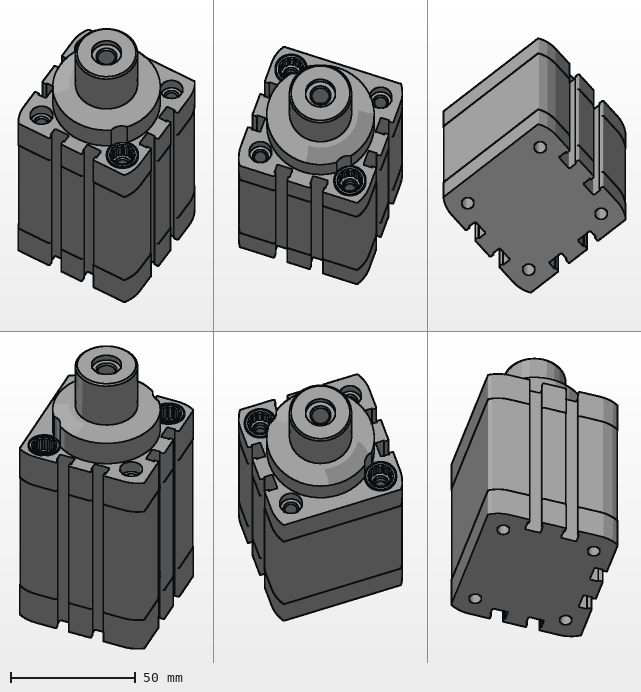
import cadquery as cq
import math

TOTAL_HEIGHT = 120.0
SIDE = 54.5
HALF_SIDE = SIDE / 2
HOUSING_HEIGHT = 86.4

CORNER_X = 24.8
CURVE_START_Y = 19.2
CORNER_ROUND = 0.6

END_ZONE_HEIGHT = 15.0
MIDDLE_SETBACK = 0.1

SLOT_OFFSET = 7.5
SLOT_MOUTH_WIDTH = 5.4
SLOT_WIDTH = 6.5
SLOT_DEPTH = 5.4
SLOT_LIP = 1.9
SLOT_MOUTH_ROUND = 0.4
SLOT_FLOOR_ROUND = 0.5

COLLAR_DIAMETER = 43.1
COLLAR_TOP_DIAMETER = 30.0
COLLAR_EDGE_Z = 97.0
COLLAR_TOP_Z = 99.0

ROD_DIAMETER = 25.0
ROD_CHAMFER = 0.7
ROD_RECESS_DIAMETER = 12.0
ROD_RECESS_DEPTH = 2.5
ROD_BORE_DIAMETER = 7.0
ROD_BORE_MOUTH_DIAMETER = 8.3
ROD_BORE_DEPTH = 19.2
DRILL_POINT_ANGLE = 118.0

HOLE_OFFSET = 19.0
HOLE_DIAMETER = 4.9
HOLE_MOUTH_DIAMETER = 6.2
COUNTERBORE_DIAMETER = 9.0
COUNTERBORE_DEPTH = 5.0
COUNTERBORED_CORNERS = [(-HOLE_OFFSET, -HOLE_OFFSET), (HOLE_OFFSET, HOLE_OFFSET)]

SCREW_DIAMETER = 12.8
SCREW_TOP_DIAMETER = 12.0
SCREW_LENGTH = 9.6
SOCKET_DEPTH = 6.0
SOCKET_MOUTH_DIAMETER = 10.1
SOCKET_POINT_DIAMETER = 9.6
SOCKET_BORE_DIAMETER = 8.5
SOCKET_MOUTH_ANGLE = 120.0
SOCKET_SQUARES = 3
SCREW_CORNERS = [(-HOLE_OFFSET, HOLE_OFFSET), (HOLE_OFFSET, -HOLE_OFFSET)]


def cylinder(diameter, bottom, top):
    """Upright cylinder on the Z axis."""
    return cq.Workplane("XY").workplane(offset=bottom).circle(diameter / 2).extrude(top - bottom)


def countersink(top_diameter, bottom_diameter, top, angle=90.0):
    """Cone on the Z axis, with the given included angle, that narrows downwards from the height top."""
    depth = (top_diameter - bottom_diameter) / 2 / math.tan(math.radians(angle / 2))
    outline = [(0, top), (top_diameter / 2, top), (bottom_diameter / 2, top - depth), (0, top - depth)]
    return cq.Workplane("XZ").polyline(outline).close().revolve(360, (0, 0, 0), (0, 1, 0))


def at_corners(tool, corners):
    """Copies of a tool at the given corner positions, as one cutting tool."""
    copies = cq.Workplane("XY")
    for x, y in corners:
        copies = copies.add(tool.translate((x, y, 0)).vals())
    return copies.combine()


def curved_side_mid(setback):
    """Midpoint of the curve at the +X +Y corner; the curve is tangent to the +X side."""
    across = HALF_SIDE - CORNER_X
    along = HALF_SIDE - setback - CURVE_START_Y
    radius = (across**2 + along**2) / (2 * across)
    half_angle = math.asin(along / radius) / 2
    x = HALF_SIDE - setback - radius * (1 - math.cos(half_angle))
    y = CURVE_START_Y + radius * math.sin(half_angle)
    return x, y


def housing_block(setback, height):
    """Housing block without slots, with every side moved inwards by the setback."""
    side = HALF_SIDE - setback
    corner = CORNER_X - setback
    mid_x, mid_y = curved_side_mid(setback)
    block = (
        cq.Workplane("XY")
        .moveTo(-corner, -side)
        .lineTo(corner, -side)
        .threePointArc((mid_x, -mid_y), (side, -CURVE_START_Y))
        .lineTo(side, CURVE_START_Y)
        .threePointArc((mid_x, mid_y), (corner, side))
        .lineTo(-corner, side)
        .threePointArc((-mid_x, mid_y), (-side, CURVE_START_Y))
        .lineTo(-side, -CURVE_START_Y)
        .threePointArc((-mid_x, -mid_y), (-corner, -side))
        .close()
        .extrude(height)
    )
    return block.edges("|Z").edges(">Y or <Y").fillet(CORNER_ROUND)


def slot_cutter(setback, height):
    """Cutter for one slot in the -Y side, centred on X = 0."""
    face = setback - HALF_SIDE
    lip = SLOT_LIP - HALF_SIDE
    floor = SLOT_DEPTH - HALF_SIDE
    mouth = SLOT_MOUTH_WIDTH / 2
    half = SLOT_WIDTH / 2
    flare = SLOT_MOUTH_ROUND
    bend = flare * (1 - math.sqrt(0.5))
    return (
        cq.Workplane("XY")
        .moveTo(-mouth - flare, face)
        .threePointArc((-mouth - bend, face + bend), (-mouth, face + flare))
        .lineTo(-mouth, lip)
        .lineTo(-half, lip)
        .lineTo(-half, floor - SLOT_FLOOR_ROUND)
        .radiusArc((-half + SLOT_FLOOR_ROUND, floor), SLOT_FLOOR_ROUND)
        .lineTo(half - SLOT_FLOOR_ROUND, floor)
        .radiusArc((half, floor - SLOT_FLOOR_ROUND), SLOT_FLOOR_ROUND)
        .lineTo(half, lip)
        .lineTo(mouth, lip)
        .lineTo(mouth, face + flare)
        .threePointArc((mouth + bend, face + bend), (mouth + flare, face))
        .close()
        .extrude(height)
    )


def housing_section(setback, bottom, top):
    """Slotted stretch of the housing between two heights."""
    height = top - bottom
    section = housing_block(setback, height)
    cutter = slot_cutter(setback, height)
    for side_angle in (-90, 0, 90):
        for offset in (-SLOT_OFFSET, SLOT_OFFSET):
            section = section.cut(cutter.translate((offset, 0, 0)).rotate((0, 0, 0), (0, 0, 1), side_angle))
    return section.translate((0, 0, bottom))


def collar_and_rod():
    """Collar with a conical top, and the chamfered rod that rises from it."""
    profile = [
        (0, HOUSING_HEIGHT),
        (COLLAR_DIAMETER / 2, HOUSING_HEIGHT),
        (COLLAR_DIAMETER / 2, COLLAR_EDGE_Z),
        (COLLAR_TOP_DIAMETER / 2, COLLAR_TOP_Z),
        (ROD_DIAMETER / 2, COLLAR_TOP_Z),
        (ROD_DIAMETER / 2, TOTAL_HEIGHT - ROD_CHAMFER),
        (ROD_DIAMETER / 2 - ROD_CHAMFER, TOTAL_HEIGHT),
        (0, TOTAL_HEIGHT),
    ]
    return cq.Workplane("XZ").polyline(profile).close().revolve(360, (0, 0, 0), (0, 1, 0))


def rod_bore():
    """Recess in the rod end, then a countersunk blind bore with a drill point."""
    recess_floor = TOTAL_HEIGHT - ROD_RECESS_DEPTH
    bore_end = TOTAL_HEIGHT - ROD_BORE_DEPTH
    radius = ROD_BORE_DIAMETER / 2
    tip = bore_end - radius / math.tan(math.radians(DRILL_POINT_ANGLE / 2))
    bore = (
        cq.Workplane("XZ")
        .polyline([(0, recess_floor), (radius, recess_floor), (radius, bore_end), (0, tip)])
        .close()
        .revolve(360, (0, 0, 0), (0, 1, 0))
    )
    recess = cylinder(ROD_RECESS_DIAMETER, recess_floor, TOTAL_HEIGHT)
    mouth = countersink(ROD_BORE_MOUTH_DIAMETER, ROD_BORE_DIAMETER, recess_floor)
    return recess.union(mouth).union(bore)


def counterbored_hole():
    """Through hole with a chamfered mouth in the floor of a counterbore."""
    floor = HOUSING_HEIGHT - COUNTERBORE_DEPTH
    hole = cylinder(HOLE_DIAMETER, 0, floor)
    mouth = countersink(HOLE_MOUTH_DIAMETER, HOLE_DIAMETER, floor)
    return hole.union(mouth).union(cylinder(COUNTERBORE_DIAMETER, floor, HOUSING_HEIGHT))


def screw_seat():
    """Through hole and screw recess; the recess also notches the edge of the collar."""
    hole = cylinder(HOLE_DIAMETER, 0, HOUSING_HEIGHT)
    return hole.union(cylinder(SCREW_DIAMETER, HOUSING_HEIGHT - SCREW_LENGTH, COLLAR_TOP_Z))


def make_housing():
    """Slotted housing with its collar and rod."""
    upper_zone = HOUSING_HEIGHT - END_ZONE_HEIGHT
    housing = housing_section(0, 0, END_ZONE_HEIGHT)
    housing = housing.union(housing_section(MIDDLE_SETBACK, END_ZONE_HEIGHT, upper_zone))
    housing = housing.union(housing_section(0, upper_zone, HOUSING_HEIGHT))
    housing = housing.union(collar_and_rod()).cut(rod_bore())
    housing = housing.cut(at_corners(counterbored_hole(), COUNTERBORED_CORNERS))
    return housing.cut(at_corners(screw_seat(), SCREW_CORNERS))


def make_screw():
    """Hollow screw with a chamfered rim and a twelve-point socket, its top level with the housing."""
    floor = HOUSING_HEIGHT - SOCKET_DEPTH
    screw = cylinder(SCREW_DIAMETER, HOUSING_HEIGHT - SCREW_LENGTH, HOUSING_HEIGHT)
    screw = screw.faces(">Z").chamfer((SCREW_DIAMETER - SCREW_TOP_DIAMETER) / 2)

    square = cq.Workplane("XY").workplane(offset=floor).polygon(4, SOCKET_POINT_DIAMETER)
    square = square.extrude(SOCKET_DEPTH)
    for index in range(SOCKET_SQUARES):
        screw = screw.cut(square.rotate((0, 0, 0), (0, 0, 1), index * 90 / SOCKET_SQUARES))
    screw = screw.cut(cylinder(SOCKET_BORE_DIAMETER, floor, HOUSING_HEIGHT))
    mouth = countersink(SOCKET_MOUTH_DIAMETER, SOCKET_BORE_DIAMETER, HOUSING_HEIGHT, SOCKET_MOUTH_ANGLE)
    screw = screw.cut(mouth)

    screw = screw.cut(cylinder(HOLE_DIAMETER, HOUSING_HEIGHT - SCREW_LENGTH, floor))
    return screw.cut(countersink(HOLE_MOUTH_DIAMETER, HOLE_DIAMETER, floor))


housing = make_housing()
screw = make_screw()
screws = []
for x, y in SCREW_CORNERS:
    screws.append(screw.translate((x, y, 0)).val())

result = cq.Compound.makeCompound([housing.val(), *screws])